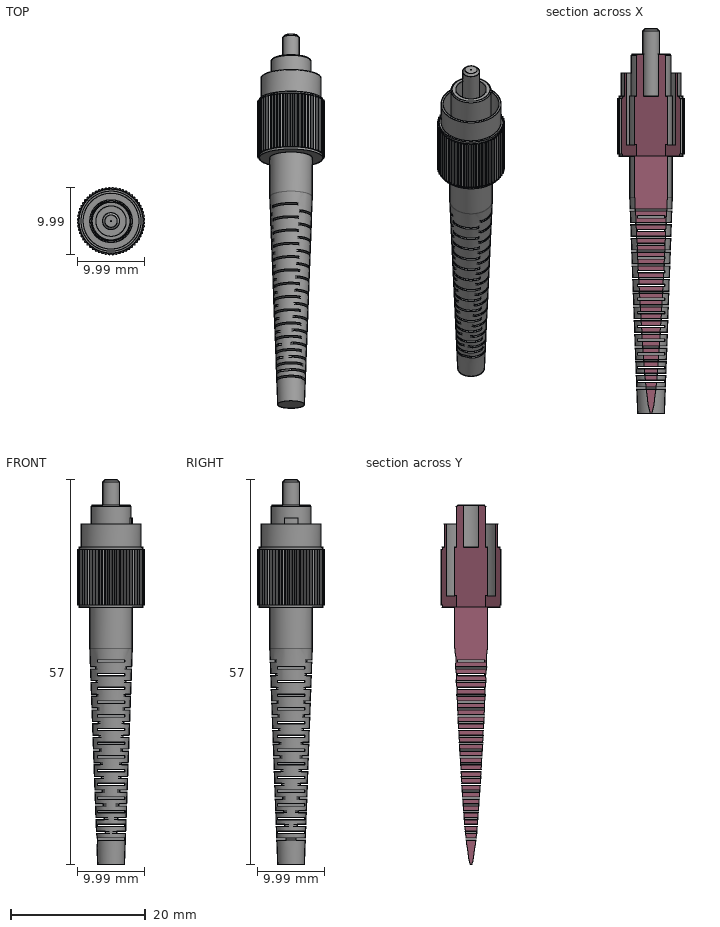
import cadquery as cq
import math

ferrule_top = 57.05
barrel_top = 53.3
key_top = 51.35
nut_top = 50.5
nut_shoulder = 47.1
nut_bottom = 38.1
taper_top = 32.05

ferrule_diameter = 2.5
ferrule_chamfer = 0.35
fibre_hole_diameter = 0.125

barrel_diameter = 5.95
barrel_chamfer = 0.15
well_diameter = 4.5
key_width = 2.0

nut_diameter = 8.9
nut_bore_diameter = 8.3
nut_floor_thickness = 1.7
nut_rim_diameter = 9.5
nut_rim_height = 0.35
knurl_tip_diameter = 10.0
knurl_root_diameter = 9.6
tooth_flat_fraction = 0.2
tooth_count = 60

boot_top_diameter = 6.35
boot_end_diameter = 4.0
slot_width = 4.0
slot_height = 0.3
slot_count = 27
first_slot_height = 30.2
last_slot_height = 3.75

collar_diameter = boot_top_diameter
nut_floor = nut_bottom + nut_floor_thickness
collar_top = nut_shoulder
well_floor = nut_shoulder


def cylinder(diameter, bottom, top):
    """Solid cylinder on the connector axis between two heights."""
    return cq.Workplane("XY").workplane(offset=bottom).circle(diameter / 2).extrude(top - bottom)


def make_ferrule():
    """Chamfered pin with the fibre hole along its axis."""
    pin = cylinder(ferrule_diameter, nut_bottom, ferrule_top)
    pin = pin.faces(">Z").chamfer(ferrule_chamfer)
    return pin.cut(cylinder(fibre_hole_diameter, nut_bottom, ferrule_top))


def make_barrel():
    """Sleeve that holds the ferrule, with a collar on the nut floor and a key on its +X side."""
    sleeve = cylinder(barrel_diameter, nut_bottom, barrel_top)
    sleeve = sleeve.faces(">Z").chamfer(barrel_chamfer)
    collar = cylinder(collar_diameter, nut_floor, collar_top)

    key_reach = collar_diameter / 2
    key_block = cq.Workplane("XY").box(
        key_reach, key_width, key_top - collar_top, centered=(False, True, False)
    ).translate((0, 0, collar_top))
    key = key_block.intersect(cylinder(collar_diameter, collar_top, key_top))

    well = cylinder(well_diameter, well_floor, barrel_top)
    ferrule_hole = cylinder(ferrule_diameter, nut_bottom, barrel_top)
    return sleeve.union(collar).union(key).cut(well).cut(ferrule_hole)


def make_knurl():
    """Grip ring of tapered teeth with narrow flat tips and sharp roots, between the two nut rims."""
    pitch_angle = 2 * math.pi / tooth_count
    half_flat_angle = pitch_angle * tooth_flat_fraction / 2
    outline = []
    for tooth in range(tooth_count):
        root_angle = tooth * pitch_angle
        tip_angle = root_angle + pitch_angle / 2
        for diameter, angle in (
            (knurl_root_diameter, root_angle),
            (knurl_tip_diameter, tip_angle - half_flat_angle),
            (knurl_tip_diameter, tip_angle + half_flat_angle),
        ):
            outline.append((diameter / 2 * math.cos(angle), diameter / 2 * math.sin(angle)))
    return (
        cq.Workplane("XY").workplane(offset=nut_bottom + nut_rim_height)
        .polyline(outline).close()
        .extrude(nut_shoulder - nut_bottom - 2 * nut_rim_height)
    )


def make_nut():
    """Knurled nut with a plain front sleeve, open at the front and closed to a floor at the back."""
    sleeve = cylinder(nut_diameter, nut_bottom, nut_top)
    rim = cylinder(nut_rim_diameter, nut_bottom, nut_shoulder)
    body = sleeve.union(rim).union(make_knurl())
    bore = cylinder(nut_bore_diameter, nut_floor, nut_top)
    floor_hole = cylinder(barrel_diameter, nut_bottom, nut_floor)
    return body.cut(bore).cut(floor_hole)


def make_boot():
    """Cylinder that tapers to the cable end, cut by slots that alternate between X and Y."""
    top_radius = boot_top_diameter / 2
    boot = (
        cq.Workplane("XZ")
        .polyline([
            (0, 0),
            (boot_end_diameter / 2, 0),
            (top_radius, taper_top),
            (top_radius, nut_bottom),
            (0, nut_bottom),
        ])
        .close()
        .revolve(360, (0, 0, 0), (0, 1, 0))
    )
    slot = cq.Workplane("XY").box(slot_width, boot_top_diameter, slot_height)
    slot_pitch = (first_slot_height - last_slot_height) / (slot_count - 1)
    for index in range(slot_count):
        turned = slot.rotate((0, 0, 0), (0, 0, 1), 90 * (index % 2))
        boot = boot.cut(turned.translate((0, 0, first_slot_height - index * slot_pitch)))
    return boot


ferrule = make_ferrule()
barrel = make_barrel()
nut = make_nut()
boot = make_boot()

result = cq.Compound.makeCompound([body.solids().val() for body in (ferrule, barrel, nut, boot)])